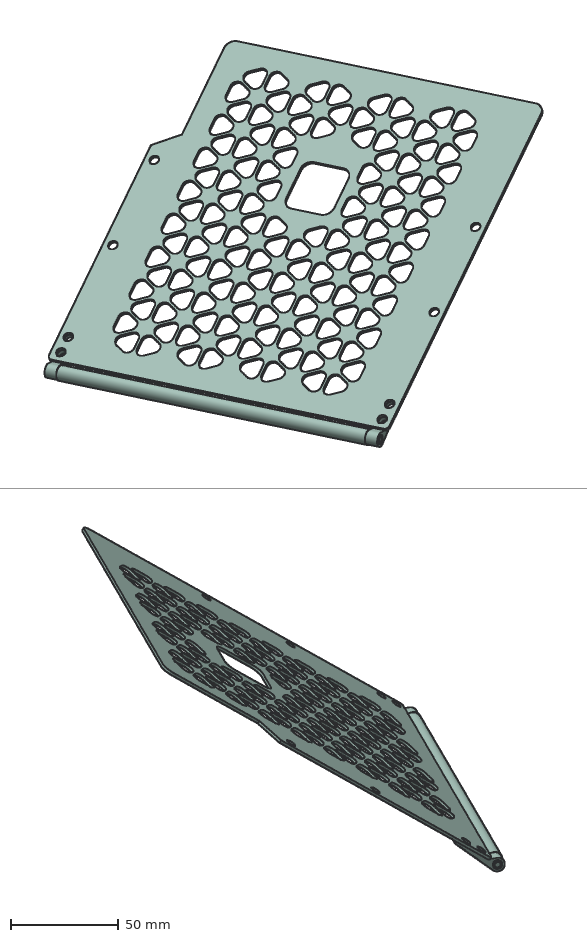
import cadquery as cq
import math

tilt = 35.0

plate_width = 180.5
plate_thickness = 1.5
plate_underside = 0.4
plate_bottom = 5.0
plate_top = 192.7
top_corner_radius = 5.0
bottom_corner_radius = 2.0
notch_width = 12.5
notch_start = 128.5
notch_end = 137.6

screw_inset = 5.0
upper_screw_places = [71.9, 121.2]
tab_screw_places = [10.0, 18.8]
plate_hole_diameter = 4.7
tab_hole_diameter = 4.2

window_width = 25.5
window_height = 26.9
window_radius = 5.0
window_centre = 124.0

grille_rows = 17
grille_columns = 8
grille_centre_x = -0.5
grille_centre_y = 99.0
grille_span = 152.6
rib_width = 1.5
triangle_radius = 3.3
blank_rows = range(3, 8)
blank_columns = range(3, 5)

knuckle_diameter = 7.0
sleeve_diameter = 7.5
bore_diameter = 4.5
pin_diameter = 4.2
pin_chamfer = 0.7
hinge_width = 176.5
tab_width = 6.3
tab_tip_place = 24.0
tab_tip_thickness = 1.6

half_width = plate_width / 2
screw_x = half_width - screw_inset
row_pitch = grille_span / (grille_rows - 1)
triangle_side = 2 * row_pitch
column_pitch = triangle_side * math.sqrt(3) / 2
grille_left = grille_centre_x - grille_columns * column_pitch / 2
grille_bottom = grille_centre_y - grille_span / 2
knuckle_radius = knuckle_diameter / 2
tab_tip_z = plate_underside - tab_tip_thickness
tab_inner_x = hinge_width / 2 - tab_width


def tilted(body):
    """Turn a body from the plate frame to its sloped place."""
    return body.rotate((0, 0, 0), (1, 0, 0), tilt)


def triangle_cutter(left, centre_y, points_left):
    """Rounded triangle that fills one grid cell, less half a rib on each side."""
    half_rib = rib_width / 2
    flat_x = left + column_pitch - half_rib if points_left else left + half_rib
    tip_x = left + 2 * half_rib if points_left else left + column_pitch - 2 * half_rib
    half_flat = abs(flat_x - tip_x) / math.sqrt(3)
    outline = [(tip_x, centre_y), (flat_x, centre_y + half_flat), (flat_x, centre_y - half_flat)]
    triangle = cq.Workplane("XY").polyline(outline).close().extrude(plate_thickness)
    return triangle.edges("|Z").fillet(triangle_radius)


def grille_cutters():
    """All the triangles of the grille, with a blank field left round the window."""
    cutters = []
    for row in range(grille_rows):
        for column in range(grille_columns):
            if row in blank_rows and column in blank_columns:
                continue
            left = grille_left + column * column_pitch
            centre_y = grille_bottom + (grille_rows - 1 - row) * row_pitch
            points_left = (row + column) % 2 == 0
            cutters.append(triangle_cutter(left, centre_y, points_left).val())
    return cq.Compound.makeCompound(cutters)


def make_plate():
    """Sloped plate with a notched left edge, grille, window and screw holes."""
    outline = [
        (-half_width, plate_bottom),
        (half_width, plate_bottom),
        (half_width, plate_top),
        (notch_width - half_width, plate_top),
        (notch_width - half_width, notch_end),
        (-half_width, notch_start),
    ]
    plate = cq.Workplane("XY").polyline(outline).close().extrude(plate_thickness)
    plate = plate.edges("|Z and >Y").fillet(top_corner_radius)
    plate = plate.edges("|Z and <Y").fillet(bottom_corner_radius)

    window = (
        cq.Workplane("XY")
        .center(0, window_centre)
        .rect(window_width, window_height)
        .extrude(plate_thickness)
        .edges("|Z")
        .fillet(window_radius)
    )
    screw_places = [(side * screw_x, y) for side in (-1, 1) for y in tab_screw_places + upper_screw_places]
    screw_holes = (
        cq.Workplane("XY").pushPoints(screw_places).circle(plate_hole_diameter / 2).extrude(plate_thickness)
    )
    plate = plate.cut(window).cut(screw_holes).cut(cq.Workplane(grille_cutters()))
    return tilted(plate.translate((0, 0, plate_underside)))


def tangent_point(y, z, side):
    """Point where a line from (y, z) touches the knuckle, on its upper (1) or lower (-1) side."""
    distance = math.hypot(y, z)
    angle = math.atan2(z, y) + side * math.acos(knuckle_radius / distance)
    return (knuckle_radius * math.cos(angle), knuckle_radius * math.sin(angle))


def make_tab(left):
    """Hinge tab: a knuckle round the pin and a tapered tongue under the plate."""
    profile = (
        cq.Workplane("YZ", origin=(left, 0, 0))
        .moveTo(plate_bottom, plate_underside)
        .lineTo(tab_tip_place, plate_underside)
        .lineTo(tab_tip_place, tab_tip_z)
        .lineTo(*tangent_point(tab_tip_place, tab_tip_z, -1))
        .threePointArc((-knuckle_radius, 0), tangent_point(plate_bottom, plate_underside, 1))
        .close()
    )
    tab = profile.extrude(tab_width)
    bore = cq.Workplane("YZ", origin=(left, 0, 0)).circle(bore_diameter / 2).extrude(tab_width)
    hole_x = math.copysign(screw_x, left)
    screw_holes = (
        cq.Workplane("XY", origin=(0, 0, plate_underside))
        .pushPoints([(hole_x, y) for y in tab_screw_places])
        .circle(tab_hole_diameter / 2)
        .extrude(-knuckle_diameter)
    )
    return tilted(tab.cut(bore).cut(screw_holes))


def make_sleeve():
    """Tube on the pin between the two tabs."""
    sleeve = cq.Workplane("YZ", origin=(-tab_inner_x, 0, 0)).circle(sleeve_diameter / 2).circle(bore_diameter / 2)
    return sleeve.extrude(2 * tab_inner_x)


def make_pin():
    """Pin through the tabs and the sleeve, chamfered at both ends."""
    pin = cq.Workplane("YZ", origin=(-hinge_width / 2, 0, 0)).circle(pin_diameter / 2).extrude(hinge_width)
    return pin.faces("<X or >X").chamfer(pin_chamfer)


plate = make_plate()
tabs = [make_tab(left) for left in (-hinge_width / 2, tab_inner_x)]
sleeve = make_sleeve()
pin = make_pin()

result = cq.Compound.makeCompound([plate.val(), *[tab.val() for tab in tabs], sleeve.val(), pin.val()])